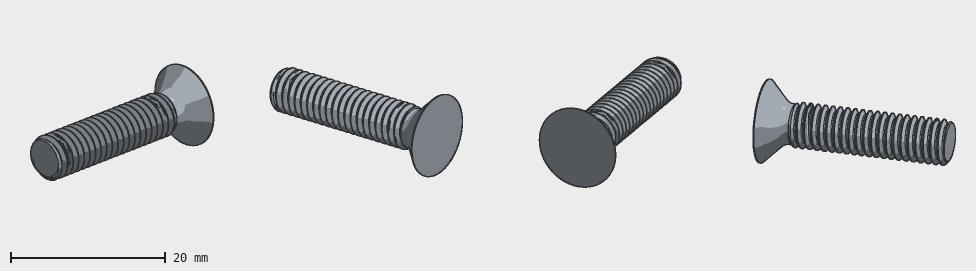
import cadquery as cq
import math

length = 25.0
head_radius = 5.5
rim_height = 0.15
neck_radius = 2.68
neck_end = 3.9
neck_fillet = 1.55
cone_angle = math.radians(45)

pitch = 1.0
major_radius = 3.0
root_radius = 2.4
crest_width = pitch / 8
flank_angle = math.radians(30)
crest_start = 0.22
start_angle = math.radians(30)
end_radius = 2.62
end_angle = math.radians(35)
crest_clearance = 0.25
spare_turns = 1
ridge_embed = 0.1


def revolve_about_y(outline):
    return outline.close().revolve(360, (0, 0, 0), (0, 1, 0))


def make_body():
    """Head with a thin rim and 90 degree cone, a tangent fillet, the plain neck and the thread core."""
    fillet_top_radius = neck_radius + neck_fillet * (1 - math.cos(cone_angle))
    cone_height = (head_radius - fillet_top_radius) / math.tan(cone_angle)
    fillet_top = rim_height + cone_height
    fillet_bottom = fillet_top + neck_fillet * math.sin(cone_angle)
    half_angle = cone_angle / 2
    fillet_middle = (
        neck_radius + neck_fillet * (1 - math.cos(half_angle)),
        -fillet_bottom + neck_fillet * math.sin(half_angle),
    )
    outline = (
        cq.Workplane("XY")
        .lineTo(head_radius, 0)
        .lineTo(head_radius, -rim_height)
        .lineTo(fillet_top_radius, -fillet_top)
        .threePointArc(fillet_middle, (neck_radius, -fillet_bottom))
        .lineTo(neck_radius, -neck_end)
        .lineTo(root_radius, -neck_end)
        .lineTo(root_radius, -length)
        .lineTo(0, -length)
    )
    return revolve_about_y(outline)


def make_thread_envelope():
    """Limits of the threaded length: flat ends, each with a taper that opens clear of the crests."""
    open_radius = major_radius + crest_clearance
    start_depth = (open_radius - neck_radius) / math.tan(start_angle)
    end_depth = (open_radius - end_radius) / math.tan(end_angle)
    outline = (
        cq.Workplane("XY")
        .moveTo(0, -neck_end)
        .lineTo(neck_radius, -neck_end)
        .lineTo(open_radius, -neck_end - start_depth)
        .lineTo(open_radius, -length + end_depth)
        .lineTo(end_radius, -length)
        .lineTo(0, -length)
    )
    return revolve_about_y(outline)


def make_ridge():
    """Helical ridge running past both ends of the threaded length."""
    half_crest = crest_width / 2
    inner_radius = root_radius - ridge_embed
    half_base = half_crest + (major_radius - inner_radius) * math.tan(flank_angle)
    turns_above = math.floor((neck_end - crest_start) / pitch) - spare_turns
    turns_total = math.ceil((length - neck_end) / pitch) + 2 * spare_turns + 1
    helix_height = turns_total * pitch
    helix = cq.Wire.makeHelix(pitch, helix_height, root_radius)
    ridge = (
        cq.Workplane("XZ")
        .polyline([
            (inner_radius, -half_base),
            (major_radius, -half_crest),
            (major_radius, half_crest),
            (inner_radius, half_base),
        ])
        .close()
        .sweep(cq.Workplane(helix), isFrenet=True)
    )
    upper_end = -(crest_start + turns_above * pitch)
    return (
        ridge.rotate((0, 0, 0), (0, 0, 1), 180)
        .rotate((0, 0, 0), (1, 0, 0), -90)
        .translate((0, upper_end - helix_height, 0))
    )


thread = make_ridge().intersect(make_thread_envelope())
result = make_body().union(thread)